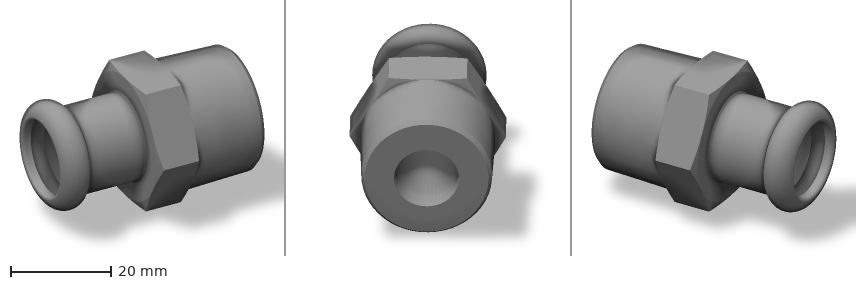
import cadquery as cq
import math

total_length = 44.0

hex_across_flats = 27.0
hex_front = 19.0
hex_back = 28.15
hex_face_diameter = 26.9
hex_corner_setback = 0.6

tube_diameter = 18.3
collar_diameter = 19.0

bead_diameter = 22.85
bead_width = 6.45
lip_diameter = 17.1
mouth_diameter = 15.7
groove_diameter = 19.0
groove_start = 1.95
groove_end = 5.0

socket_diameter = 15.3
socket_floor = 19.8
step_diameter = 14.35
step_floor = 20.7
bore_diameter = 13.0
entry_cone_length = 0.8
entry_land_length = 0.75

thread_root_diameter = 27.0
thread_start = 28.5
thread_taper = 1 / 16
thread_chamfer_length = 0.95
thread_end_diameter = 24.7

hex_corner_diameter = hex_across_flats / math.cos(math.radians(30))
bead_radius = bead_diameter / 2
bead_round = bead_width / 2
lip_radius = lip_diameter / 2
mouth_radius = mouth_diameter / 2
tube_radius = tube_diameter / 2


def revolve(profile):
    """Turn a closed half section, given as (radius, y), about the Y axis."""
    return profile.close().revolve(360, (0, 0, 0), (0, 1, 0))


def make_hexagon():
    """Hexagon with its flats facing +Z and -Z and both ends turned to a shallow cone."""
    width = hex_back - hex_front
    prism = (
        cq.Workplane("XZ", origin=(0, hex_back, 0))
        .polygon(6, hex_corner_diameter)
        .extrude(width)
    )
    face_radius = hex_face_diameter / 2
    corner_radius = hex_corner_diameter / 2
    turned = revolve(
        cq.Workplane("XY")
        .moveTo(0, hex_front)
        .lineTo(face_radius, hex_front)
        .lineTo(corner_radius, hex_front + hex_corner_setback)
        .lineTo(corner_radius, hex_back - hex_corner_setback)
        .lineTo(face_radius, hex_back)
        .lineTo(0, hex_back)
    )
    return prism.intersect(turned)


def make_tube():
    """Tube with the rolled bead at the mouth and a cone into the hexagon."""
    cone_length = (collar_diameter - tube_diameter) / 2
    return revolve(
        cq.Workplane("XY")
        .moveTo(0, 0)
        .lineTo(lip_radius, 0)
        .threePointArc((bead_radius, bead_round), (lip_radius, bead_width))
        .lineTo(tube_radius, bead_width)
        .lineTo(tube_radius, hex_front - cone_length)
        .lineTo(collar_diameter / 2, hex_front)
        .lineTo(0, hex_front)
    )


def make_thread():
    """Plain tapered thread body with a short land at the hexagon and an end chamfer."""
    chamfer_start = total_length - thread_chamfer_length
    root_radius = thread_root_diameter / 2
    tip_radius = root_radius - (chamfer_start - thread_start) * thread_taper / 2
    return revolve(
        cq.Workplane("XY")
        .moveTo(0, hex_back)
        .lineTo(root_radius, hex_back)
        .lineTo(root_radius, thread_start)
        .lineTo(tip_radius, chamfer_start)
        .lineTo(thread_end_diameter / 2, total_length)
        .lineTo(0, total_length)
    )


def make_bore():
    """Rounded mouth, seal groove inside the bead, stepped pipe socket and through bore."""
    round_size = lip_radius - mouth_radius
    diagonal = round_size * math.sqrt(0.5)
    groove_middle = (groove_start + groove_end) / 2
    socket_start = groove_end + entry_land_length + entry_cone_length
    return revolve(
        cq.Workplane("XY")
        .moveTo(0, 0)
        .lineTo(lip_radius, 0)
        .threePointArc((lip_radius - diagonal, round_size - diagonal), (mouth_radius, round_size))
        .lineTo(mouth_radius, groove_start)
        .threePointArc((groove_diameter / 2, groove_middle), (mouth_radius, groove_end))
        .lineTo(mouth_radius, groove_end + entry_land_length)
        .lineTo(socket_diameter / 2, socket_start)
        .lineTo(socket_diameter / 2, socket_floor)
        .lineTo(step_diameter / 2, socket_floor)
        .lineTo(step_diameter / 2, step_floor)
        .lineTo(bore_diameter / 2, step_floor)
        .lineTo(bore_diameter / 2, total_length)
        .lineTo(0, total_length)
    )


result = make_hexagon().union(make_tube()).union(make_thread()).cut(make_bore())